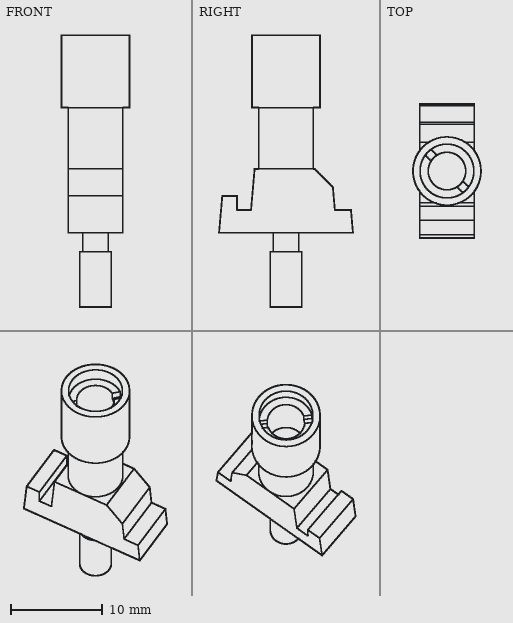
import cadquery as cq
import math

total_height = 29.9
neck_bottom = 6.1
base_bottom = 8.15
base_top = 15.2
collar_bottom = 21.92

pin_diameter = 3.5
neck_diameter = 2.8
stem_diameter = 6.0
collar_diameter = 7.5

recess_diameter = 5.92
recess_depth = 1.6
hole_diameter = 4.13
hole_depth = 5.98
drill_point_angle = 118.0
notch_width = 0.9
notch_depth = 0.9
notch_angle = 135.0

base_width = stem_diameter
base_length = 14.75
ledge_height = 2.5
lip_height = 4.07
lip_inner_y = -5.38
shoulder_back_y = 5.38
shoulder_front_y = -3.85
chamfer_size = 2.0
draft_angle = 5.0


def cylinder(diameter, bottom, top):
    """Solid cylinder on the Z axis between two heights."""
    return cq.Workplane("XY").workplane(offset=bottom).circle(diameter / 2).extrude(top - bottom)


def draft(height):
    """Inward shift of a drafted face over a given rise."""
    return height * math.tan(math.radians(draft_angle))


def make_base():
    """Drafted block with a rear ledge, a chamfered shoulder and a front hook."""
    half_length = base_length / 2
    block_height = base_top - base_bottom
    chamfer_start = block_height - chamfer_size
    chamfer_y = shoulder_back_y - draft(chamfer_start - ledge_height)
    profile = [
        (half_length, 0),
        (half_length - draft(ledge_height), ledge_height),
        (shoulder_back_y, ledge_height),
        (chamfer_y, chamfer_start),
        (chamfer_y - chamfer_size, block_height),
        (shoulder_front_y + draft(block_height - ledge_height), block_height),
        (shoulder_front_y, ledge_height),
        (lip_inner_y, ledge_height),
        (lip_inner_y, lip_height),
        (-half_length + draft(lip_height), lip_height),
        (-half_length, 0),
    ]
    outline = cq.Workplane("YZ", origin=(0, 0, base_bottom)).polyline(profile).close()
    return outline.extrude(base_width / 2, both=True)


def make_socket():
    """Cutting volume: recess, cone-bottomed hole and a slot across the shoulder."""
    shoulder_z = total_height - recess_depth
    hole_bottom = shoulder_z - hole_depth
    hole_radius = hole_diameter / 2
    tip_depth = hole_radius / math.tan(math.radians(drill_point_angle / 2))
    recess = cylinder(recess_diameter, shoulder_z, total_height)
    hole = (
        cq.Workplane("XZ")
        .moveTo(0, hole_bottom - tip_depth)
        .lineTo(hole_radius, hole_bottom)
        .lineTo(hole_radius, shoulder_z)
        .lineTo(0, shoulder_z)
        .close()
        .revolve(360, (0, 0), (0, 1))
    )
    slot = (
        cq.Workplane("XY", origin=(0, 0, shoulder_z - notch_depth))
        .transformed(rotate=(0, 0, notch_angle))
        .rect(recess_diameter, notch_width)
        .extrude(notch_depth)
    )
    notches = slot.intersect(cylinder(recess_diameter, shoulder_z - notch_depth, shoulder_z))
    return recess.union(hole).union(notches)


pin = cylinder(pin_diameter, 0, neck_bottom)
neck = cylinder(neck_diameter, neck_bottom, base_bottom)
stem = cylinder(stem_diameter, base_top, collar_bottom)
collar = cylinder(collar_diameter, collar_bottom, total_height)

body = pin.union(neck).union(make_base()).union(stem).union(collar)
result = body.cut(make_socket())